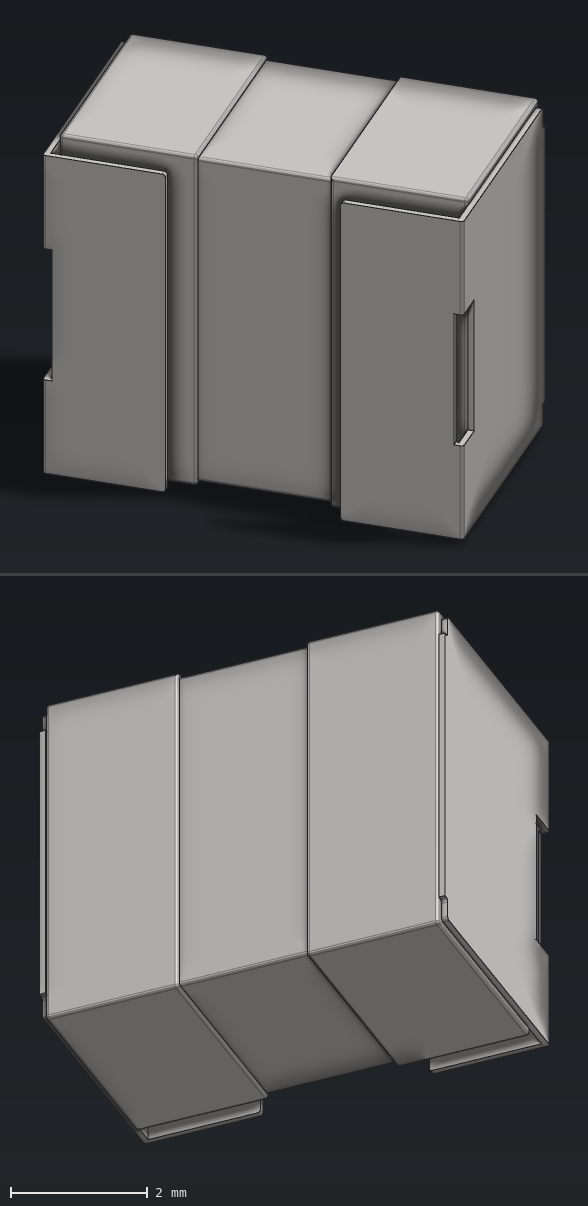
import cadquery as cq

LENGTH = 6.5
DEPTH = 3.8
HEIGHT = 5.5

SHEET = 0.1
EDGE_RADIUS = 0.05

CHIP_DEPTH = 3.3
WAIST_LENGTH = 2.055
WAIST_STEP = EDGE_RADIUS
SLEEVE_WALL = 0.1

LEAD_HEIGHT = HEIGHT - 2 * SHEET
FOOT_LENGTH = 1.9
TONGUE_INSET = 0.35
TONGUE_LENGTH = 2 * EDGE_RADIUS
WINDOW_HEIGHT = 2.185
WINDOW_IN_FOOT = SHEET + EDGE_RADIUS

BACK = DEPTH / 2
FRONT = -DEPTH / 2
END = LENGTH / 2
CHIP_FRONT = BACK - CHIP_DEPTH
CHIP_CENTRE_Y = BACK - CHIP_DEPTH / 2
BLOCK_LENGTH = (LENGTH - 2 * SHEET - WAIST_LENGTH) / 2
BLOCK_CENTRE_X = (WAIST_LENGTH + BLOCK_LENGTH) / 2
SLEEVE_DEPTH = CHIP_DEPTH - 2 * WAIST_STEP
SLEEVE_HEIGHT = HEIGHT - 2 * WAIST_STEP
CORE_DEPTH = SLEEVE_DEPTH - 2 * SLEEVE_WALL
CORE_HEIGHT = SLEEVE_HEIGHT - 2 * SLEEVE_WALL


def chip_box(length, depth, height, centre_x=0.0):
    """Box centred on the chip's long axis."""
    return cq.Workplane("XY").box(length, depth, height).translate((centre_x, CHIP_CENTRE_Y, 0))


def make_chip():
    """Spool-shaped chip: a core bar with a rounded block at each end.

    One edge stays sharp: the top edge of the +X block that faces the waist.
    """
    core = chip_box(WAIST_LENGTH, CORE_DEPTH, CORE_HEIGHT)
    left_block = chip_box(BLOCK_LENGTH, CHIP_DEPTH, HEIGHT, -BLOCK_CENTRE_X)
    right_block = chip_box(BLOCK_LENGTH, CHIP_DEPTH, HEIGHT, BLOCK_CENTRE_X)
    rounded_left = left_block.edges().fillet(EDGE_RADIUS)
    rounded_right = right_block.edges("not (<X and >Z)").fillet(EDGE_RADIUS)
    return core.union(rounded_left).union(rounded_right)


def make_sleeve():
    """Sleeve around the core, rounded along its four long edges."""
    outside = chip_box(WAIST_LENGTH, SLEEVE_DEPTH, SLEEVE_HEIGHT).edges("|X").fillet(EDGE_RADIUS)
    return outside.cut(chip_box(WAIST_LENGTH, CORE_DEPTH, CORE_HEIGHT))


def end_plate():
    """Plate at the -X end, with a tongue on its back edge between rounded shoulders."""
    plate_top = LEAD_HEIGHT / 2
    tongue_top = plate_top - TONGUE_INSET
    shoulder = BACK - TONGUE_LENGTH
    return (
        cq.Workplane("YZ", origin=(-END, 0, 0))
        .moveTo(FRONT, 0)
        .lineTo(FRONT, plate_top)
        .lineTo(shoulder - EDGE_RADIUS, plate_top)
        .radiusArc((shoulder, plate_top - EDGE_RADIUS), EDGE_RADIUS)
        .lineTo(shoulder, tongue_top + EDGE_RADIUS)
        .radiusArc((shoulder + EDGE_RADIUS, tongue_top), -EDGE_RADIUS)
        .lineTo(BACK, tongue_top)
        .lineTo(BACK, 0)
        .mirrorX()
        .extrude(SHEET)
    )


def foot():
    """Flat foot at the -X end, with the two corners of its free end rounded."""
    return (
        cq.Workplane("XY")
        .box(FOOT_LENGTH, SHEET, LEAD_HEIGHT, centered=(False, False, True))
        .translate((-END, FRONT, 0))
        .edges("|Y and >X")
        .fillet(EDGE_RADIUS)
    )


def window():
    """Cutter for the window across the bend, from the chip's front face through the foot."""
    return (
        cq.Workplane("XY")
        .box(WINDOW_IN_FOOT, CHIP_FRONT - FRONT, WINDOW_HEIGHT, centered=(False, False, True))
        .translate((-END, FRONT, 0))
    )


def make_left_lead():
    """L-shaped lead at the -X end, rounded on the outside of its bend."""
    bent_sheet = end_plate().union(foot())
    rounded = bent_sheet.edges("|Z and <X and <Y").fillet(EDGE_RADIUS)
    return rounded.cut(window())


def make_lead(side):
    """Lead at the -X end (side -1) or its mirror image at the +X end (side 1)."""
    lead = make_left_lead()
    if side > 0:
        lead = lead.mirror("YZ")
    return lead


chip = make_chip()
sleeve = make_sleeve()
leads = [make_lead(side).val() for side in (-1, 1)]

result = cq.Compound.makeCompound([chip.val(), sleeve.val(), *leads])